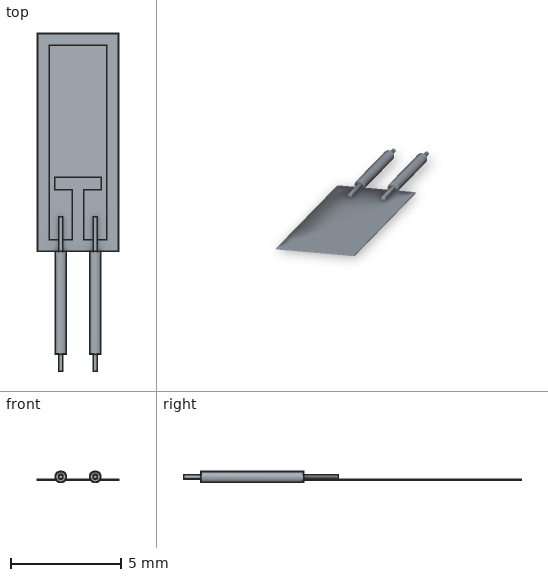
import cadquery as cq

overall_length = 15.35

film_width = 3.7
film_length = 9.9
film_thickness = 0.06

electrode_margin = 0.54
electrode_thickness = 0.03
electrode_width = film_width - 2 * electrode_margin
electrode_length = film_length - 2 * electrode_margin
stem_width = 0.5
stem_length = 2.27
bar_width = 2.1
bar_height = 0.55

lead_spacing = 1.57
wire_diameter = 0.2
wire_length_on_film = 1.58
wire_front_reach = overall_length - film_length
sleeve_diameter = 0.5
sleeve_length = 4.67
lead_height = wire_diameter / 2


def rod(diameter, x, front_y, length):
    """Round rod along Y at the height of the lead axis."""
    axis_start = cq.Workplane("XZ", origin=(x, front_y, lead_height))
    return axis_start.circle(diameter / 2).extrude(-length)


def make_electrode():
    """Rectangular layer with a T-shaped opening that runs out at its front edge."""
    half_width = electrode_width / 2
    half_stem = stem_width / 2
    half_bar = bar_width / 2
    front_y = electrode_margin
    back_y = front_y + electrode_length
    bar_front_y = front_y + stem_length
    bar_back_y = bar_front_y + bar_height
    right_side = [
        (half_bar, bar_back_y),
        (half_bar, bar_front_y),
        (half_stem, bar_front_y),
        (half_stem, front_y),
        (half_width, front_y),
        (half_width, back_y),
    ]
    left_side = [(-x, y) for x, y in reversed(right_side)]
    outline = right_side + left_side
    return cq.Workplane("XY").polyline(outline).close().extrude(-electrode_thickness)


def make_film(electrode):
    """Flat sheet with a recess that holds the electrode."""
    sheet = (
        cq.Workplane("XY")
        .rect(film_width, film_length)
        .extrude(-film_thickness)
        .translate((0, film_length / 2, 0))
    )
    return sheet.cut(electrode)


def make_wire(x):
    """Bare wire from its free front end to its end on the electrode."""
    return rod(wire_diameter, x, -wire_front_reach, wire_front_reach + wire_length_on_film)


def make_sleeve(x, wire):
    """Insulating tube around the wire, butting against the front edge of the film."""
    return rod(sleeve_diameter, x, -sleeve_length, sleeve_length).cut(wire)


electrode = make_electrode()
film = make_film(electrode)

lead_solids = []
for lead_x in (-lead_spacing / 2, lead_spacing / 2):
    wire = make_wire(lead_x)
    sleeve = make_sleeve(lead_x, wire)
    lead_solids += [wire.val(), sleeve.val()]

result = cq.Compound.makeCompound([film.val(), electrode.val(), *lead_solids])